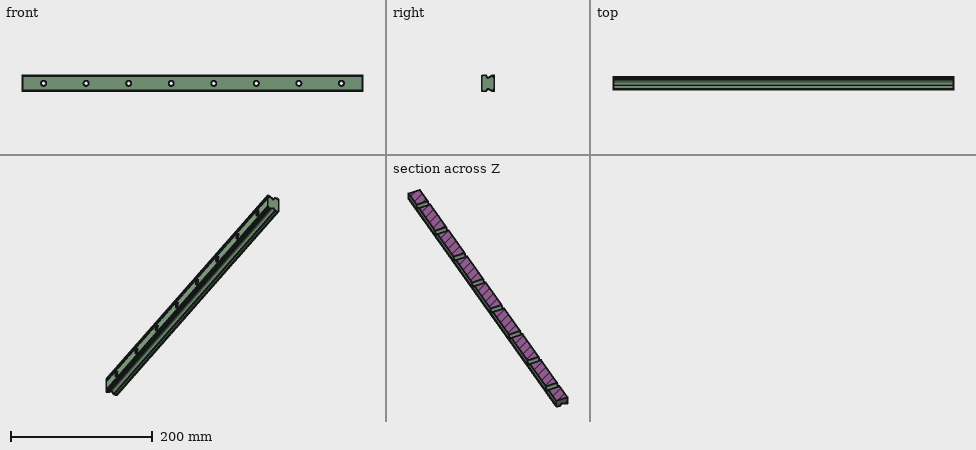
import cadquery as cq
import math

length = 480.0
height = 18.0
width = 23.0

half_height = height / 2
half_width = width / 2

foot_chamfer = 1.6

groove_foot_y = -2.8
groove_depth = 4.0
groove_slope_angle = 30.0
groove_root_radius = 0.8

race_radius = 1.9
race_depth = 0.9

lip_chamfer = 0.5

notch_inner_z = 8.2
notch_outer_z = 10.8
notch_depth = 1.5

hole_diameter = 7.0
hole_pitch = 60.0
hole_count = 8


def groove_root_points():
    """Return the wall end, middle and slope end of the arc that rounds the root of the V groove."""
    slope_angle = math.radians(groove_slope_angle)
    sine = math.sin(slope_angle)
    cosine = math.cos(slope_angle)
    vertex_y = groove_foot_y + groove_depth * math.tan(slope_angle)
    vertex_z = half_width - groove_depth
    wall_end = (vertex_y - groove_root_radius * sine, vertex_z + groove_root_radius * cosine)
    slope_end = (vertex_y + groove_root_radius * cosine, vertex_z + groove_root_radius * sine)
    centre_y = wall_end[0] + slope_end[0] - vertex_y
    centre_z = wall_end[1] + slope_end[1] - vertex_z
    bisector = slope_angle + math.pi / 4
    middle = (
        centre_y - groove_root_radius * math.cos(bisector),
        centre_z - groove_root_radius * math.sin(bisector),
    )
    return wall_end, middle, slope_end


def race_points(slope_end):
    """Return the start, middle and end of the race arc, which starts on the line of the groove slope."""
    sweep = math.acos(1 - race_depth / race_radius)
    start_z = half_width - race_depth
    slope_gradient = math.tan(math.radians(groove_slope_angle))
    start_y = slope_end[0] + (start_z - slope_end[1]) / slope_gradient

    def arc_point(angle):
        return (
            start_y + race_radius * math.sin(angle),
            start_z + race_radius * (1 - math.cos(angle)),
        )

    return arc_point(0), arc_point(sweep / 2), arc_point(sweep)


def make_rail():
    """Extrude the cross-section, which is symmetric about Z = 0."""
    wall_end, root_middle, slope_end = groove_root_points()
    race_start, race_middle, race_end = race_points(slope_end)
    notch_middle_z = (notch_inner_z + notch_outer_z) / 2
    half_section = (
        cq.Workplane("YZ", origin=(-length / 2, 0, 0))
        .moveTo(-half_height, 0)
        .lineTo(-half_height, half_width - foot_chamfer)
        .lineTo(-half_height + foot_chamfer, half_width)
        .lineTo(groove_foot_y, half_width)
        .lineTo(*wall_end)
        .threePointArc(root_middle, slope_end)
        .lineTo(*race_start)
        .threePointArc(race_middle, race_end)
        .lineTo(half_height - lip_chamfer, half_width)
        .lineTo(half_height, half_width - lip_chamfer)
        .lineTo(half_height, notch_outer_z)
        .threePointArc((half_height - notch_depth, notch_middle_z), (half_height, notch_inner_z))
        .lineTo(half_height, 0)
        .close()
        .extrude(length)
    )
    return half_section.union(half_section.mirror("XY")).clean()


def cut_mounting_holes(rail):
    """Drill a row of through holes, centred on the length."""
    return (
        rail.faces("<Y")
        .workplane(origin=(0, -half_height, 0))
        .rarray(hole_pitch, 1, hole_count, 1)
        .hole(hole_diameter)
    )


result = cut_mounting_holes(make_rail())